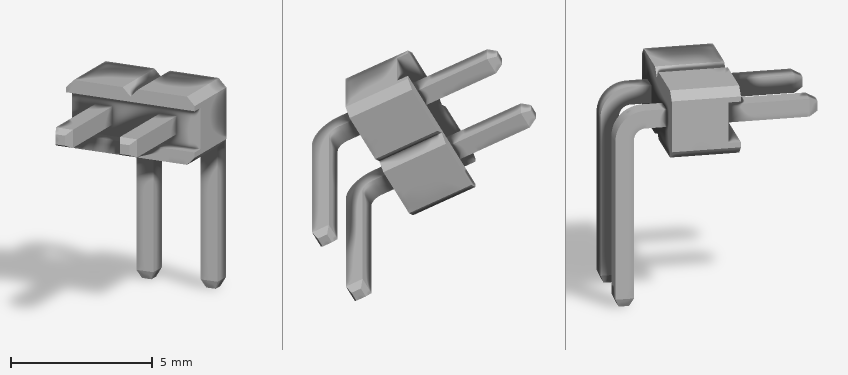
import cadquery as cq

total_width = 5.08
total_depth = 7.33
total_height = 8.27

pin_count = 2
pitch = total_width / pin_count
housing_height = 2.52
housing_depth = 2.5
bevel = 0.31
channel_height = 1.52
channel_depth = 0.45

pin_size = 0.67
pin_rear_reach = 1.84
bend_inner_radius = 0.41
tip_length = 0.32
tip_size = 0.37

housing_front = -housing_depth / 2
housing_back = housing_depth / 2
pin_rear = housing_back + pin_rear_reach
pin_front = pin_rear - total_depth
pin_bottom = housing_height / 2 - total_height
bend_radius = bend_inner_radius + pin_size / 2
leg_y = pin_rear - pin_size / 2
pin_positions = [(i - (pin_count - 1) / 2) * pitch for i in range(pin_count)]


def housing_cell(x):
    """Block with its four long edges bevelled."""
    return (
        cq.Workplane("XY")
        .box(pitch, housing_depth, housing_height)
        .edges("|Y")
        .chamfer(bevel)
        .translate((x, 0, 0))
    )


def tapered_tip(base, direction):
    """Square pyramid frustum that narrows from base along direction."""
    plane = cq.Plane(origin=base, xDir=(1, 0, 0), normal=direction)
    return (
        cq.Workplane(plane)
        .rect(pin_size, pin_size)
        .workplane(offset=tip_length)
        .rect(tip_size, tip_size)
        .loft(ruled=True)
    )


def bent_pin(x):
    """Horizontal pin, right-angle bend and vertical leg, with a taper at both ends."""
    front_base = (x, pin_front + tip_length, 0)
    leg_base = (x, leg_y, pin_bottom + tip_length)
    path = (
        cq.Workplane("YZ", origin=(x, 0, 0))
        .moveTo(front_base[1], 0)
        .lineTo(leg_y - bend_radius, 0)
        .radiusArc((leg_y, -bend_radius), bend_radius)
        .lineTo(leg_y, leg_base[2])
    )
    shaft = cq.Workplane("XZ", origin=front_base).rect(pin_size, pin_size).sweep(path)
    front_tip = tapered_tip(front_base, (0, -1, 0))
    leg_tip = tapered_tip(leg_base, (0, 0, -1))
    return shaft.union(front_tip).union(leg_tip)


housing = housing_cell(pin_positions[0])
for x in pin_positions[1:]:
    housing = housing.union(housing_cell(x))

channel = cq.Workplane("XY").box(total_width, channel_depth, channel_height)
housing = housing.cut(channel.translate((0, housing_front + channel_depth / 2, 0)))

result = housing
for x in pin_positions:
    result = result.union(bent_pin(x))